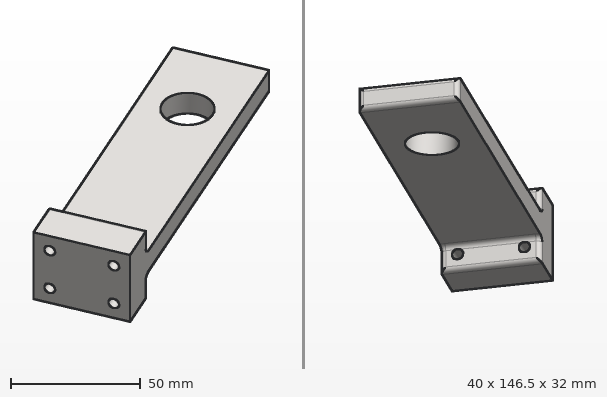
import cadquery as cq

width = 40.0
length = 146.5
head_height = 32.0
head_depth = 18.0
arm_thickness = 10.0
edge_radius = 2.0
root_radius = 2.0

corner_x = width / 2 - edge_radius
corner_y = head_depth - edge_radius

bore_diameter = 20.8
bore_y = 110.2

bolt_diameter = 4.4
bolt_spacing_x = 26.5
bolt_spacing_z = 18.0


def rounded_end_block(depth, height):
    """Block from the mounting face, with all four edges of its +Y end rounded."""
    block = cq.Workplane("XY").box(width, depth, height, centered=(True, False, True))
    return block.faces(">Y").edges().fillet(edge_radius)


def root_profile():
    """Web section running from the corner axis of the head out to the concave root flanks."""
    arm_z = arm_thickness / 2
    shoulder_z = arm_z + root_radius
    shoulder_y = edge_radius
    root_end_y = shoulder_y + root_radius
    return (
        cq.Workplane("YZ", origin=(0, corner_y, 0))
        .moveTo(0, -shoulder_z)
        .lineTo(shoulder_y, -shoulder_z)
        .radiusArc((root_end_y, -arm_z), root_radius)
        .lineTo(root_end_y, arm_z)
        .radiusArc((shoulder_y, shoulder_z), root_radius)
        .lineTo(0, shoulder_z)
        .close()
    )


def root_web():
    """Concave blend between head and arm, following the head's rounded corners to the sides."""
    web = root_profile().extrude(corner_x, both=True)
    corner = root_profile().revolve(360, (0, 0, 0), (0, 1, 0))
    for side in (-1, 1):
        web = web.union(corner.translate((side * corner_x, 0, 0)))
    side_limits = cq.Workplane("XY").box(width, length, head_height, centered=(True, False, True))
    return web.intersect(side_limits)


def bore():
    """Cutter for the large hole through the arm."""
    return (
        cq.Workplane("XY")
        .center(0, bore_y)
        .circle(bore_diameter / 2)
        .extrude(arm_thickness, both=True)
    )


def bolt_holes():
    """Cutters for the holes through the head, on a centred rectangle."""
    return (
        cq.Workplane("XZ")
        .rect(bolt_spacing_x, bolt_spacing_z, forConstruction=True)
        .vertices()
        .circle(bolt_diameter / 2)
        .extrude(-head_depth)
    )


head = rounded_end_block(head_depth, head_height)
arm = rounded_end_block(length, arm_thickness)
result = head.union(arm).union(root_web()).cut(bore()).cut(bolt_holes())